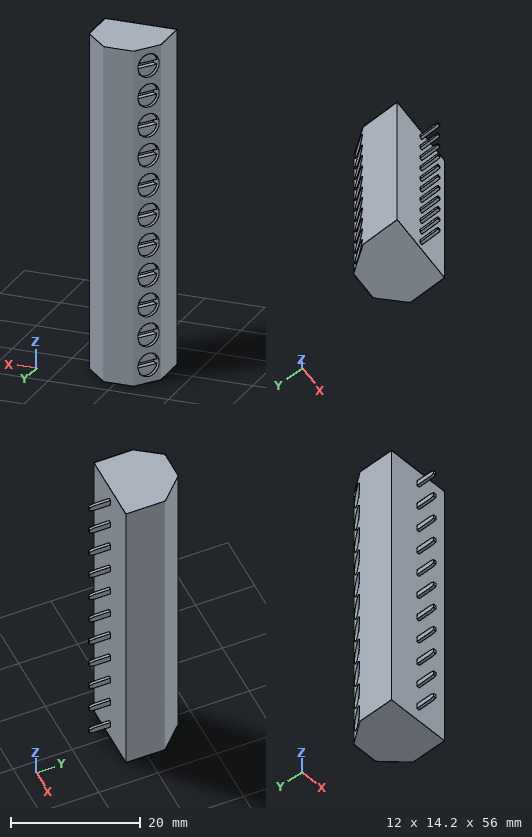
import cadquery as cq

length = 56.0
width = 12.0
depth = 10.75
bevel_depth = 4.1
screw_bevel_width = 2.9
plain_bevel_width = 4.1
bevel_edge_radius = 0.5

pole_count = 11
pole_span = 50.0
pole_pitch = pole_span / (pole_count - 1)

pin_length = 3.5
pin_thickness = 0.5
pin_height = 1.0
pin_tip_length = 0.7
pin_tip_inset = 0.15

screw_diameter = 3.85
screw_offset = 0.2
screw_recess = 0.6
slot_width = 0.8
slot_depth = 0.95

half_width = width / 2
first_pole_z = -pole_span / 2
pole_heights = [first_pole_z + i * pole_pitch for i in range(pole_count)]


def make_housing():
    outline = [
        (-half_width, 0),
        (half_width, 0),
        (half_width, depth - bevel_depth),
        (half_width - plain_bevel_width, depth),
        (-half_width + screw_bevel_width, depth),
        (-half_width, depth - bevel_depth),
    ]
    prism = cq.Workplane("XY").polyline(outline).close().extrude(length / 2, both=True)
    return prism.edges("|Z and (not <Y)").fillet(bevel_edge_radius)


def make_pin(z):
    """Flat pin pointing to -Y, with its tip narrowed in Z."""
    half_height = pin_height / 2
    tip_half_height = half_height - pin_tip_inset
    shoulder_y = -pin_length + pin_tip_length
    outline = [
        (0, z - half_height),
        (0, z + half_height),
        (shoulder_y, z + half_height),
        (-pin_length, z + tip_half_height),
        (-pin_length, z - tip_half_height),
        (shoulder_y, z - half_height),
    ]
    return cq.Workplane("YZ").polyline(outline).close().extrude(pin_thickness / 2, both=True)


def make_screw_cut(z):
    """Round recess in the screw bevel, with a driver slot across its floor."""
    bevel_plane = cq.Plane(
        origin=(-half_width + screw_bevel_width / 2, depth - bevel_depth / 2, z),
        xDir=(screw_bevel_width, bevel_depth, 0),
        normal=(-bevel_depth, screw_bevel_width, 0),
    )
    mouth = cq.Workplane(bevel_plane).center(-screw_offset, 0)
    slot_bottom = -(screw_recess + slot_depth)
    recess = mouth.circle(screw_diameter / 2).extrude(-screw_recess)
    slot = (
        mouth.rect(screw_diameter, slot_width).extrude(slot_bottom)
        .intersect(mouth.circle(screw_diameter / 2).extrude(slot_bottom))
    )
    return recess.union(slot)


result = make_housing()
for pole_z in pole_heights:
    result = result.union(make_pin(pole_z)).cut(make_screw_cut(pole_z))